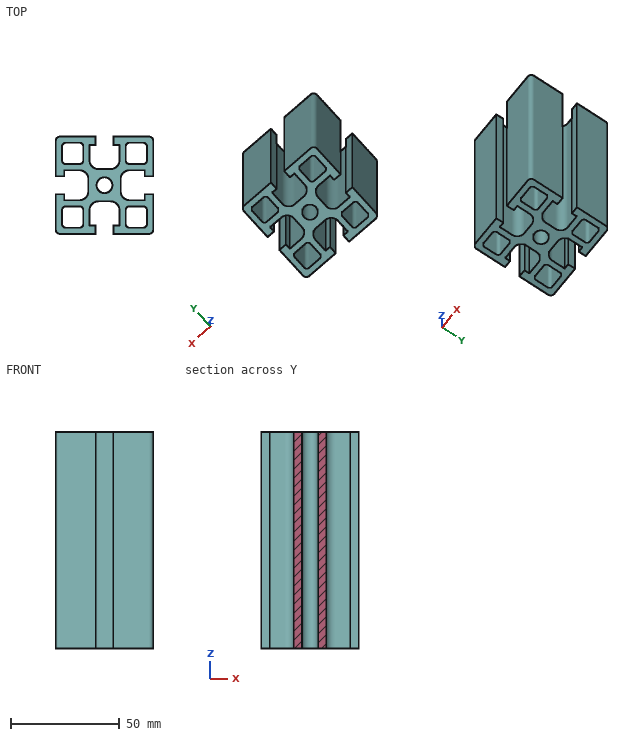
import cadquery as cq

profile_width = 45.0
profile_length = 100.0
outer_corner_radius = 2.0
center_bore_diameter = 7.2

slot_opening = 8.2
slot_chamber_width = 13.7
slot_lip_thickness = 4.0
slot_floor_radius = 4.0
core_width = 15.0
slot_angles = (0, 90, 180, 270)

chamber_wall = 3.0
chamber_corner_radius = 1.5

half_width = profile_width / 2
chamber_inner_edge = slot_chamber_width / 2 + chamber_wall
chamber_outer_edge = half_width - chamber_wall
chamber_size = chamber_outer_edge - chamber_inner_edge
chamber_offset = (chamber_outer_edge + chamber_inner_edge) / 2


def make_bar():
    """Square bar with rounded long edges."""
    bar = cq.Workplane("XY").rect(profile_width, profile_width).extrude(profile_length)
    return bar.edges("|Z").fillet(outer_corner_radius)


def make_slot():
    """T-slot opening toward +X: a narrow mouth and a wide chamber with a rounded floor."""
    floor_x = core_width / 2
    lip_x = half_width - slot_lip_thickness
    chamber = (
        cq.Workplane("XY")
        .center((floor_x + lip_x) / 2, 0)
        .rect(lip_x - floor_x, slot_chamber_width)
        .extrude(profile_length)
        .edges("|Z and <X")
        .fillet(slot_floor_radius)
    )
    mouth = (
        cq.Workplane("XY")
        .center((lip_x + half_width) / 2, 0)
        .rect(slot_lip_thickness, slot_opening)
        .extrude(profile_length)
    )
    return chamber.union(mouth)


def make_corner_chambers():
    """Four rounded square channels, one in each corner."""
    return (
        cq.Workplane("XY")
        .rect(2 * chamber_offset, 2 * chamber_offset, forConstruction=True)
        .vertices()
        .rect(chamber_size, chamber_size)
        .extrude(profile_length)
        .edges("|Z")
        .fillet(chamber_corner_radius)
    )


def make_center_bore():
    """Round through channel along the axis."""
    return cq.Workplane("XY").circle(center_bore_diameter / 2).extrude(profile_length)


result = make_bar().cut(make_corner_chambers()).cut(make_center_bore())
slot = make_slot()
for angle in slot_angles:
    result = result.cut(slot.rotate((0, 0, 0), (0, 0, 1), angle))